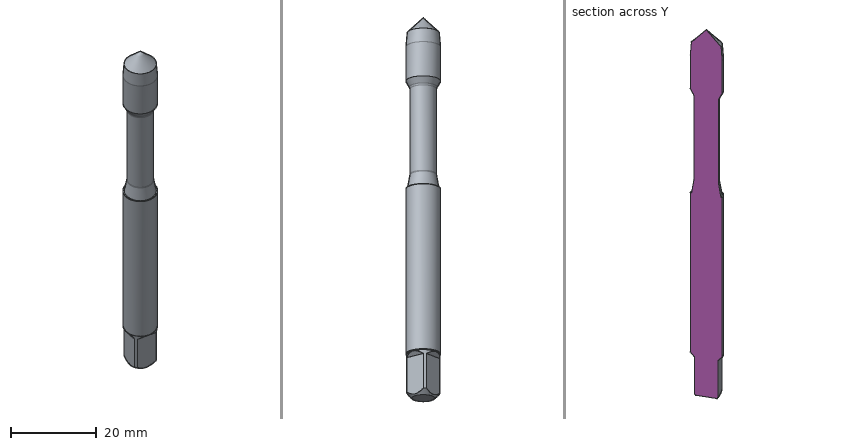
import cadquery as cq

total_length = 93.6
square_height = 9.7
shank_bottom = 10.85
shank_top = 51.5
neck_bottom = 54.9
neck_top = 76.25
head_bottom = 77.9
taper_bottom = 86.4

shank_diameter = 8.1
drive_diameter = 7.8
shoulder_diameter = 7.5
neck_diameter = 6.3
head_diameter = 8.1
tip_diameter = 7.6

square_width = 6.0
drive_end_diameter = 5.3
neck_fillet = 0.9

tip_base = total_length - tip_diameter / 2


def make_body():
    """Turned body, with 45 degree chamfers at the drive end and below the shank."""
    drive_radius = drive_diameter / 2
    shank_radius = shank_diameter / 2
    drive_end_radius = drive_end_diameter / 2
    end_chamfer = drive_radius - drive_end_radius
    shank_chamfer = shank_radius - drive_radius
    profile = [
        (0, 0),
        (drive_end_radius, 0),
        (drive_radius, end_chamfer),
        (drive_radius, shank_bottom - shank_chamfer),
        (shank_radius, shank_bottom),
        (shank_radius, shank_top),
        (shoulder_diameter / 2, shank_top),
        (neck_diameter / 2, neck_bottom),
        (neck_diameter / 2, neck_top),
        (head_diameter / 2, head_bottom),
        (head_diameter / 2, taper_bottom),
        (tip_diameter / 2, tip_base),
        (0, total_length),
    ]
    body = cq.Workplane("XZ").polyline(profile).close().revolve(360, (0, 0), (0, 1))
    neck_ends = cq.selectors.BoxSelector(
        (-shank_diameter, -shank_diameter, neck_bottom - neck_fillet),
        (shank_diameter, shank_diameter, neck_top + neck_fillet),
    )
    return body.edges(neck_ends).edges("%CIRCLE").fillet(neck_fillet)


def make_flat_cutter():
    """Material beyond one flat of the square, closed by a 45 degree runout."""
    inner = square_width / 2
    outer = shank_diameter
    runout = outer - inner
    return (
        cq.Workplane("XZ")
        .polyline([(inner, 0), (outer, 0), (outer, square_height + runout), (inner, square_height)])
        .close()
        .extrude(shank_diameter, both=True)
    )


result = make_body()
flat_cutter = make_flat_cutter()
for angle in (0, 90, 180, 270):
    result = result.cut(flat_cutter.rotate((0, 0, 0), (0, 0, 1), angle))